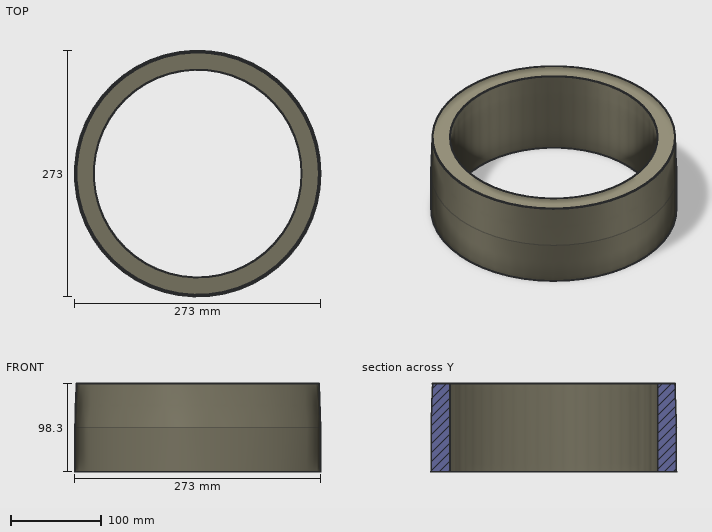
import cadquery as cq

outer_diameter = 273.0
top_diameter = 269.8
bore_diameter = 230.2
height = 98.3
straight_height = 49.5
outer_chamfer = 0.5
bore_chamfer = 0.4

outer_radius = outer_diameter / 2
top_radius = top_diameter / 2
bore_radius = bore_diameter / 2

ring_section = (
    cq.Workplane("XZ")
    .moveTo(bore_radius, 0)
    .lineTo(outer_radius, 0)
    .lineTo(outer_radius, straight_height)
    .lineTo(top_radius, height - outer_chamfer)
    .lineTo(top_radius - outer_chamfer, height)
    .lineTo(bore_radius + bore_chamfer, height)
    .lineTo(bore_radius, height - bore_chamfer)
    .close()
)

result = ring_section.revolve(360, (0, 0, 0), (0, 1, 0))